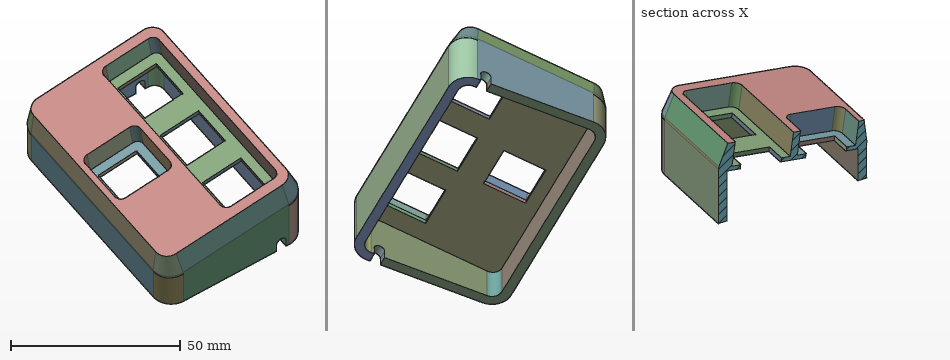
import cadquery as cq
import math

WIDTH = 76.2
DEPTH = 50.9
HEIGHT = 27.1
CORNER_RADIUS = 6.4

TILT = 8.0
TAPER = 15.0
BAND_HEIGHT = 0.8
CAP_HEIGHT = 7.6
SIN_TILT = math.sin(math.radians(TILT))
COS_TILT = math.cos(math.radians(TILT))

BODY_DEPTH = DEPTH - BAND_HEIGHT * SIN_TILT
SLOPE_LENGTH = BODY_DEPTH / COS_TILT
CAP_INSET = CAP_HEIGHT * math.tan(math.radians(TAPER))
TOP_LENGTH = SLOPE_LENGTH - 2 * CAP_INSET

POCKET_SIZE = 20.0
POCKET_DEPTH = 8.15
POCKET_RADIUS = 2.3
ROW_POCKET_LENGTH = 65.0
ROW_OFFSET = 10.9
SINGLE_OFFSET = -11.65
WINDOW_SIZE = 13.9
KEY_PITCH = 21.95
PLATE_THICKNESS = 1.5

WALL = 3.05
NOTCH_WIDTH = 3.35
NOTCH_HEIGHT = 4.65
NOTCH_Y = 16.2


def slope_plane(depth):
    """Workplane parallel to the top face, the given distance below its middle."""
    top_y = -(BAND_HEIGHT + CAP_HEIGHT) * SIN_TILT
    top_z = HEIGHT - TOP_LENGTH / 2 * SIN_TILT
    origin = (0, top_y + depth * SIN_TILT, top_z - depth * COS_TILT)
    return cq.Workplane(cq.Plane(origin=origin, xDir=(1, 0, 0), normal=(0, -SIN_TILT, COS_TILT)))


def rounded_sketch(length, width, radius):
    return cq.Sketch().rect(length, width).vertices().fillet(radius)


def upright_block(inset, depth_below_top):
    """Vertical rounded block, inset from the body walls and cut off parallel to the top face."""
    outline = rounded_sketch(WIDTH - 2 * inset, BODY_DEPTH - 2 * inset, CORNER_RADIUS - inset)
    block = cq.Workplane("XY").placeSketch(outline).extrude(HEIGHT)
    above = slope_plane(depth_below_top).rect(2 * WIDTH, 2 * WIDTH).extrude(HEIGHT)
    return block.cut(above)


def outer_shape():
    outline = rounded_sketch(WIDTH, SLOPE_LENGTH, CORNER_RADIUS)
    band = slope_plane(CAP_HEIGHT + BAND_HEIGHT).placeSketch(outline).extrude(BAND_HEIGHT)
    cap = slope_plane(CAP_HEIGHT).placeSketch(outline).extrude(CAP_HEIGHT, taper=TAPER)
    return upright_block(0, CAP_HEIGHT + BAND_HEIGHT).union(band).union(cap)


def pocket(length, offset):
    outline = rounded_sketch(length, POCKET_SIZE, POCKET_RADIUS)
    return slope_plane(0).center(0, offset).placeSketch(outline).extrude(-POCKET_DEPTH)


def windows():
    centres = [(column * KEY_PITCH, ROW_OFFSET) for column in (-1, 0, 1)]
    centres.append((0, SINGLE_OFFSET))
    floor = slope_plane(POCKET_DEPTH).pushPoints(centres)
    return floor.rect(WINDOW_SIZE, WINDOW_SIZE).extrude(-PLATE_THICKNESS)


def cable_notches():
    """Round-topped slots open at the bottom, through both side walls."""
    radius = NOTCH_WIDTH / 2
    profile = (
        cq.Workplane("YZ")
        .moveTo(NOTCH_Y - radius, 0)
        .lineTo(NOTCH_Y - radius, NOTCH_HEIGHT - radius)
        .threePointArc((NOTCH_Y, NOTCH_HEIGHT), (NOTCH_Y + radius, NOTCH_HEIGHT - radius))
        .lineTo(NOTCH_Y + radius, 0)
        .close()
    )
    return profile.extrude(WIDTH / 2, both=True)


result = (
    outer_shape()
    .cut(upright_block(WALL, POCKET_DEPTH + PLATE_THICKNESS))
    .cut(pocket(ROW_POCKET_LENGTH, ROW_OFFSET))
    .cut(pocket(POCKET_SIZE, SINGLE_OFFSET))
    .cut(windows())
    .cut(cable_notches())
)